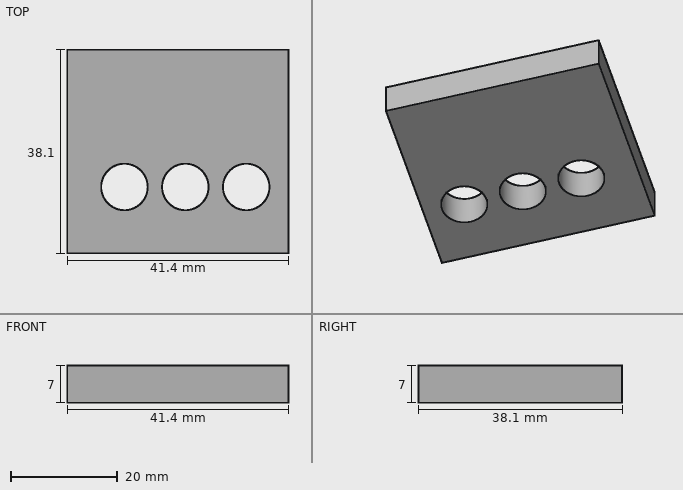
import cadquery as cq

plate_length = 41.4
plate_width = 38.1
plate_thickness = 7.0

hole_diameter = 8.65
hole_count = 3
hole_pitch = 11.4
first_hole_x = 10.72
hole_row_y = 12.4

hole_centers = [(first_hole_x + index * hole_pitch, hole_row_y) for index in range(hole_count)]

plate = cq.Workplane("XY").box(plate_length, plate_width, plate_thickness, centered=False)
hole_cutters = (
    cq.Workplane("XY")
    .pushPoints(hole_centers)
    .circle(hole_diameter / 2)
    .extrude(plate_thickness)
)

result = plate.cut(hole_cutters)